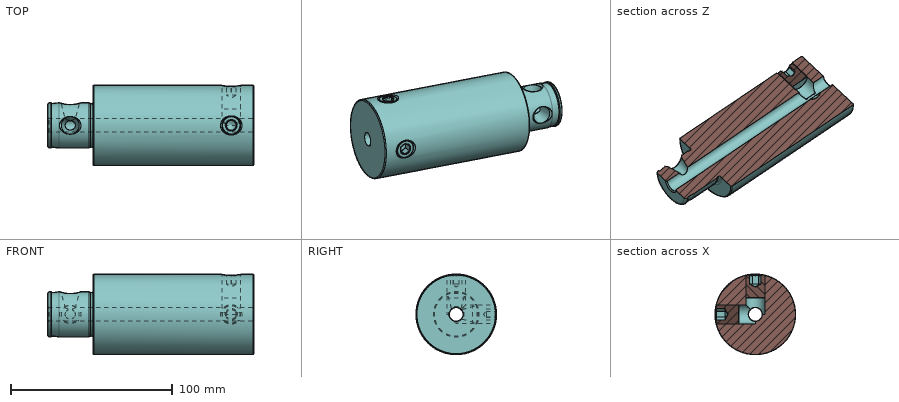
import cadquery as cq
import math

total_length = 128.0
body_radius = 50.0 / 2
body_chamfer = 0.6
bore_radius = 4.2
bore_chamfer = 0.6
bore_chamfer_length = 0.9

spigot_length = 28.0
spigot_radius = 14.1
nose_fillet = 1.5
nose_length = 2.0
lead_start = 2.5
lead_end = 7.2
lead_radius = 13.6
relief_start = 25.6
relief_radius = 13.6
relief_slope_length = 1.2
relief_fillet = 0.8
relief_depth = 0.3
relief_outer_radius = 15.6

seat_x = 14.1
seat_half_angle = 15
seat_mouth_radius = 6.7
seat_base_radius = 5.5

screw_x = 113.9
screw_radius = 5.8
screw_chamfer = 0.4
screw_mouth_radius = 6.7
screw_tip_height = 10.2
socket_flats = 6.0
socket_depth = 5.8
socket_chamfer_radius = 3.6
socket_turn = 28
socket_point_half_angle = 60

screw_hole_edge_z = body_radius - (screw_mouth_radius - screw_radius)
screw_top_z = screw_hole_edge_z + screw_chamfer

countersink_height = 2.5

clamp_angles = (0, -90)


def place(shape, x, angle):
    """Move a shape built on the Z axis to station x, turned about the X axis."""
    return shape.rotate((0, 0, 0), (1, 0, 0), angle).translate((x, 0, 0))


def revolve_about_z(outline):
    """Solid turned about the Z axis from (radius, z) points."""
    return cq.Workplane("XZ").polyline(outline).close().revolve(360, (0, 0), (0, 1))


def cone(low_radius, low_z, high_radius, high_z):
    """Cylinder or truncated cone on the Z axis between two circles."""
    return revolve_about_z([(0, low_z), (low_radius, low_z), (high_radius, high_z), (0, high_z)])


def countersink(base_radius, base_z):
    """90 degree cone that opens upward and clears the crown of the surface it cuts."""
    return cone(base_radius, base_z, base_radius + countersink_height, base_z + countersink_height)


def turned_body():
    """Spigot, relief groove and main cylinder, turned around the bored X axis."""
    relief_floor = spigot_length + relief_depth
    fillet_mid = relief_fillet * (1 - math.sqrt(0.5))
    nose_mid = nose_fillet * (1 - math.sqrt(0.5))
    return (
        cq.Workplane("XY")
        .moveTo(0, bore_radius + bore_chamfer)
        .lineTo(0, spigot_radius - nose_fillet)
        .threePointArc((nose_mid, spigot_radius - nose_mid), (nose_fillet, spigot_radius))
        .lineTo(nose_length, spigot_radius)
        .lineTo(lead_start, lead_radius)
        .lineTo(lead_end, spigot_radius)
        .lineTo(relief_start, spigot_radius)
        .lineTo(relief_start + relief_slope_length, relief_radius)
        .lineTo(relief_floor - relief_fillet, relief_radius)
        .threePointArc(
            (relief_floor - fillet_mid, relief_radius + fillet_mid),
            (relief_floor, relief_radius + relief_fillet),
        )
        .lineTo(spigot_length, relief_outer_radius)
        .lineTo(spigot_length, body_radius - body_chamfer)
        .lineTo(spigot_length + body_chamfer, body_radius)
        .lineTo(total_length - body_chamfer, body_radius)
        .lineTo(total_length, body_radius - body_chamfer)
        .lineTo(total_length, bore_radius)
        .lineTo(bore_chamfer_length, bore_radius)
        .close()
        .revolve(360, (0, 0), (1, 0))
    )


def seat_cutter():
    """Tapered hole down to the bore axis, with a 90 degree countersink."""
    base_z = spigot_radius - (seat_mouth_radius - seat_base_radius)
    axis_radius = seat_base_radius - base_z * math.tan(math.radians(seat_half_angle))
    taper = cone(axis_radius, 0, seat_base_radius, base_z)
    return taper.union(countersink(seat_base_radius, base_z))


def screw_hole_cutter():
    """Screw hole open to the bore, with a 90 degree countersink."""
    hole = cone(screw_radius, 0, screw_radius, screw_hole_edge_z)
    return hole.union(countersink(screw_radius, screw_hole_edge_z))


def clamping_screw():
    """Headless screw with a chamfered, cone-bottomed hexagon socket."""
    socket_corner = socket_flats / math.sqrt(3)
    floor_z = screw_top_z - socket_depth
    point_radius = socket_flats / 2
    point_depth = point_radius / math.tan(math.radians(socket_point_half_angle))
    hexagon = (
        cq.Workplane("XY", origin=(0, 0, floor_z))
        .polygon(6, 2 * socket_corner)
        .extrude(socket_depth)
        .rotate((0, 0, 0), (0, 0, 1), socket_turn)
    )
    point = revolve_about_z([(0, floor_z - point_depth), (point_radius, floor_z), (0, floor_z)])
    mouth_depth = socket_chamfer_radius - point_radius
    mouth = cone(point_radius, screw_top_z - mouth_depth, socket_chamfer_radius, screw_top_z)
    shank = cone(screw_radius, screw_tip_height, screw_radius, screw_hole_edge_z)
    rim = cone(screw_radius, screw_hole_edge_z, screw_radius - screw_chamfer, screw_top_z)
    screw = shank.union(rim)
    return screw.cut(hexagon).cut(point).cut(mouth)


body = turned_body()
screws = []
for angle in clamp_angles:
    body = body.cut(place(seat_cutter(), seat_x, angle))
    body = body.cut(place(screw_hole_cutter(), screw_x, angle))
    screws.append(place(clamping_screw(), screw_x, angle).val())

result = cq.Compound.makeCompound([body.val(), *screws])